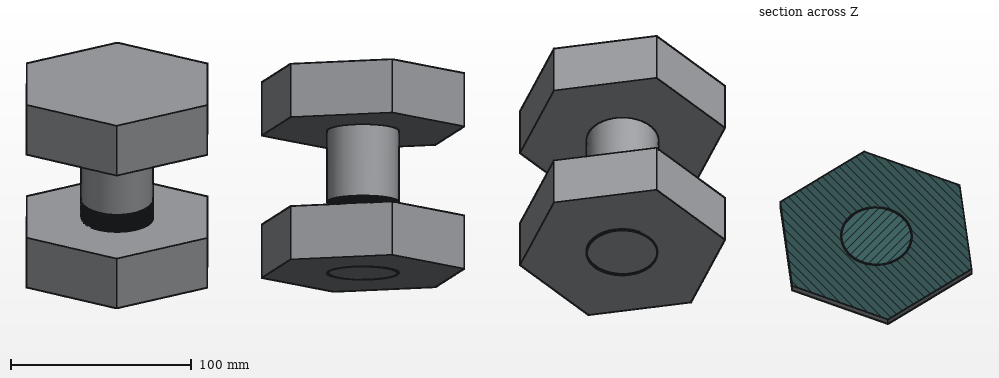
import cadquery as cq

HEX_ACROSS_CORNERS = 115.5
HEX_HEIGHT = 30.0

SHANK_DIAMETER = 40.0
SHANK_LENGTH = 40.0
THREAD_GAP = 10.0

THREAD_PITCH = 1.5
CREST_WIDTH = THREAD_PITCH / 8
BOLT_ROOT_DIAMETER = 38.1
BOLT_CREST_DIAMETER = 39.8
NUT_CREST_DIAMETER = 38.6
NUT_ROOT_DIAMETER = 40.2
RIDGE_BASE_WIDTH = THREAD_PITCH * 3 / 4
RIDGE_EMBED = 0.1
OVERRUN_TURNS = 2.25
THREAD_OVERRUN = OVERRUN_TURNS * THREAD_PITCH

NUT_TOP_Z = HEX_HEIGHT
SHANK_BOTTOM_Z = NUT_TOP_Z + THREAD_GAP
HEAD_BOTTOM_Z = SHANK_BOTTOM_Z + SHANK_LENGTH


def hex_prism(bottom_z):
    """Hexagonal block with two corners on the Y axis."""
    return (
        cq.Workplane("XY", origin=(0, 0, bottom_z))
        .transformed(rotate=(0, 0, 90))
        .polygon(6, HEX_ACROSS_CORNERS)
        .extrude(HEX_HEIGHT)
    )


def cylinder(diameter, bottom_z, top_z):
    """Upright cylinder on the Z axis."""
    return cq.Workplane("XY", origin=(0, 0, bottom_z)).circle(diameter / 2).extrude(top_z - bottom_z)


def threaded_rod(inner_diameter, outer_diameter, top_z):
    """Rod from z = 0 to top_z with a helical ridge standing on its core."""
    base_radius = inner_diameter / 2 - RIDGE_EMBED
    helix_bottom_z = -THREAD_OVERRUN
    helix_length = top_z + 2 * THREAD_OVERRUN
    helix = cq.Wire.makeHelix(THREAD_PITCH, helix_length, base_radius, cq.Vector(0, 0, helix_bottom_z))
    ridge = (
        cq.Workplane("XZ")
        .polyline([
            (base_radius, helix_bottom_z - RIDGE_BASE_WIDTH / 2),
            (outer_diameter / 2, helix_bottom_z - CREST_WIDTH / 2),
            (outer_diameter / 2, helix_bottom_z + CREST_WIDTH / 2),
            (base_radius, helix_bottom_z + RIDGE_BASE_WIDTH / 2),
        ])
        .close()
        .sweep(cq.Workplane(helix), isFrenet=True)
    )
    core = cylinder(inner_diameter, -2 * THREAD_OVERRUN, top_z + 2 * THREAD_OVERRUN)
    trimming_envelope = cylinder(outer_diameter + THREAD_PITCH, 0, top_z)
    return core.union(ridge).intersect(trimming_envelope)


def make_bolt():
    """Hex head, plain shank and threaded end in one solid."""
    shank = cylinder(SHANK_DIAMETER, SHANK_BOTTOM_Z, HEAD_BOTTOM_Z)
    thread = threaded_rod(BOLT_ROOT_DIAMETER, BOLT_CREST_DIAMETER, SHANK_BOTTOM_Z)
    return hex_prism(HEAD_BOTTOM_Z).union(shank).union(thread)


def make_nut():
    """Hex nut whose internal thread follows the bolt's helix with a small clearance."""
    thread_space = threaded_rod(NUT_CREST_DIAMETER, NUT_ROOT_DIAMETER, NUT_TOP_Z)
    return hex_prism(0).cut(thread_space)


bolt = make_bolt()
nut = make_nut()

result = cq.Compound.makeCompound([bolt.solids().val(), nut.solids().val()])